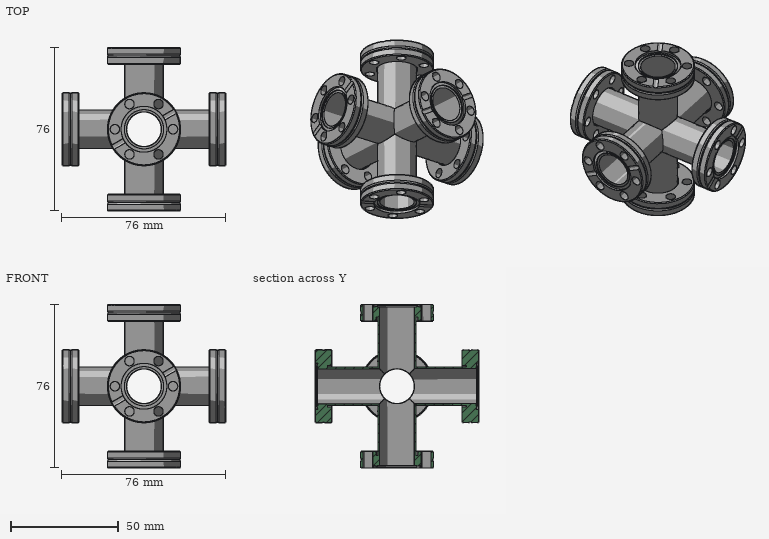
import cadquery as cq


overall_length = 76.0
face_distance = overall_length / 2
tube_radius = 18.0 / 2
bore_radius = 16.0 / 2

flange_radius = 34.0 / 2
flange_thickness = 7.8
rim_chamfer = 0.45
rim_groove_width = 1.5
rim_groove_depth = 0.3

recess_radius = 21.3 / 2
recess_depth = 1.15
knife_radius = 18.25 / 2
knife_depth = 0.6

clearance_radius = 19.15 / 2
clearance_depth = 2.0

bolt_count = 6
bolt_circle_radius = 27.0 / 2
bolt_hole_diameter = 4.4

channel_width = 2.3
channel_depth = 0.45
channel_angle = 180 / bolt_count
channel_radius = ((channel_width / 2) ** 2 + channel_depth**2) / (2 * channel_depth)

port_directions = [
    ((1, 0, 0), (0, 1, 0)),
    ((-1, 0, 0), (0, -1, 0)),
    ((0, 1, 0), (-1, 0, 0)),
    ((0, -1, 0), (1, 0, 0)),
    ((0, 0, 1), (1, 0, 0)),
    ((0, 0, -1), (1, 0, 0)),
]


def make_flange():
    """Turned flange about Z with its sealing face on z = 0 and its body below."""
    rim_middle = -flange_thickness / 2
    groove_top = rim_middle + rim_groove_width / 2
    groove_bottom = rim_middle - rim_groove_width / 2
    chamfer_radius = flange_radius - rim_chamfer
    return (
        cq.Workplane("XZ")
        .moveTo(0, -flange_thickness)
        .lineTo(chamfer_radius, -flange_thickness)
        .lineTo(flange_radius, -flange_thickness + rim_chamfer)
        .lineTo(flange_radius, groove_bottom)
        .lineTo(flange_radius - rim_groove_depth, rim_middle)
        .lineTo(flange_radius, groove_top)
        .lineTo(flange_radius, -rim_chamfer)
        .lineTo(chamfer_radius, 0)
        .lineTo(recess_radius, 0)
        .lineTo(recess_radius, -recess_depth)
        .lineTo(knife_radius, -knife_depth)
        .lineTo(knife_radius, -recess_depth)
        .lineTo(0, -recess_depth)
        .close()
        .revolve(360, (0, 0, 0), (0, 1, 0))
    )


def make_bolt_holes():
    """Through holes evenly spaced on the bolt circle, the first on +X."""
    return (
        cq.Workplane("XY")
        .polarArray(bolt_circle_radius, 0, 360, bolt_count)
        .circle(bolt_hole_diameter / 2)
        .extrude(-flange_thickness)
    )


def make_leak_channel():
    """Cylinder lying across the face, midway between two bolt holes."""
    axis_height = channel_radius - channel_depth
    return (
        cq.Workplane("YZ")
        .center(0, axis_height)
        .circle(channel_radius)
        .extrude(flange_radius, both=True)
        .rotate((0, 0, 0), (0, 0, 1), channel_angle)
    )


def make_tube_clearance():
    """Cylindrical pocket in the flange back, wider than the tube that passes through it."""
    back_plane = cq.Workplane("XY").workplane(offset=-flange_thickness)
    return back_plane.circle(clearance_radius).extrude(clearance_depth)


def make_port():
    """Flange with its tube, which reaches from the recess floor to the cross centre."""
    flange = make_flange()
    for cutter in (make_bolt_holes(), make_leak_channel(), make_tube_clearance()):
        flange = flange.cut(cutter)
    tube = cq.Workplane("XY").workplane(offset=-face_distance).circle(tube_radius)
    return flange.union(tube.extrude(face_distance - recess_depth))


def place_port(port, normal, first_hole):
    """Copy of the port moved so its face looks along the normal."""
    face_centre = tuple(face_distance * component for component in normal)
    return cq.Workplane(port.val().moved(cq.Plane(face_centre, first_hole, normal).location))


def make_bore(normal):
    """Straight bore from the cross centre out through one face."""
    plane = cq.Plane((0, 0, 0), normal=normal)
    return cq.Workplane(plane).circle(bore_radius).extrude(face_distance)


port = make_port()
result = cq.Workplane("XY")
for normal, first_hole in port_directions:
    result = result.union(place_port(port, normal, first_hole))
for normal, _ in port_directions:
    result = result.cut(make_bore(normal))